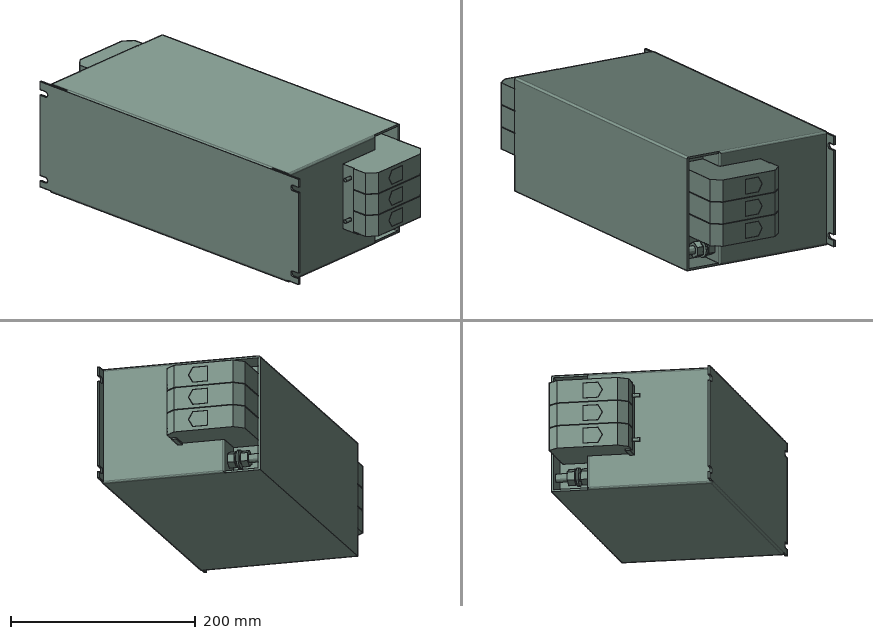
import cadquery as cq

LENGTH = 439.5
DEPTH = 180.0
HEIGHT = 129.0
FRONT_Y = -DEPTH / 2
BACK_Y = DEPTH / 2
TOP_Z = HEIGHT / 2
BOTTOM_Z = -HEIGHT / 2

SHEET = 2.0
BEND_RADIUS = SHEET
TRAY_HALF_LENGTH = 176.0
COVER_HALF_LENGTH = TRAY_HALF_LENGTH - BEND_RADIUS
TRAY_BACK_Y = 49.5
COVER_BACK_THICKNESS = 2.5

PLATE_HALF_LENGTH = 190.5
PLATE_TOP_Z = 63.0
PLATE_BOTTOM_Z = BOTTOM_Z + BEND_RADIUS
TOP_BEND_HALF_LENGTH = 151.2
TOP_STEP_DEPTH = 1.5
SLOT_WIDTH = 6.5
SLOT_DEPTH = 11.5
SLOT_HEIGHTS = (50.0, -52.0)

RECESS_FLOOR_X = 143.0
RECESS_FRONT_Y = TRAY_BACK_Y

PAD_PROUD = 0.2
BLOCK_END_X = LENGTH / 2 - PAD_PROUD
BLOCK_BACK_Y = 84.0
BLOCK_FRONT_Y = -4.5
BLOCK_TOP_Z = 48.0
MODULE_COUNT = 3
MODULE_HEIGHT = 25.0
BLOCK_HEIGHT = MODULE_COUNT * MODULE_HEIGHT
BLOCK_BOTTOM_Z = BLOCK_TOP_Z - BLOCK_HEIGHT
CORNER_X = 9.2
CORNER_Y = 10.5
BLOCK_STEP_X = 192.5
SEAM = 0.5

PAD_BACK_Y = 44.5
PAD_SHOULDER_Y = 27.5
PAD_TIP_Y = 23.0
PAD_HALF_HEIGHT = 8.5

BRACKET_END_X = 198.5
BRACKET_BACK_Y = 2.0
BRACKET_FRONT_Y = -3.0
BRACKET_DROP = 1.8
SCREW_X = 187.0
SCREW_DIAMETER = 4.0
SCREW_TIP_Y = -11.5
SCREW_HEIGHTS = (34.7, -14.5)

STUD_X = 160.5
STUD_Z = -46.5
STUD_DIAMETER = 9.2
NUT_SIDES = 6
NUT_ACROSS_CORNERS = 18.0
NUT_BACK_FACES = (73.5, 58.5)
NUT_THICKNESS = 8.0
WASHER_DIAMETER = 20.2
WASHER_BACK_Y = 63.5
WASHER_THICKNESS = 2.0


def box(x_range, y_range, z_range):
    """Box spanning the given (low, high) ranges."""
    sizes = [high - low for low, high in (x_range, y_range, z_range)]
    corner = (x_range[0], y_range[0], z_range[0])
    return cq.Workplane("XY").box(*sizes, centered=False).translate(corner)


def symmetric(half):
    """Range of the given half-length about zero."""
    return (-half, half)


def along_y(x, z, y_start):
    """Workplane at the given point whose normal points toward -Y."""
    return cq.Workplane("XZ", origin=(x, y_start, z))


def make_tray():
    """Front housing, bent at the ends, along the bottom front and at its back corners."""
    tray = box(symmetric(TRAY_HALF_LENGTH), (FRONT_Y, TRAY_BACK_Y), (BOTTOM_Z, TOP_Z))
    tray = tray.edges("|Y or (|Z and >Y)").fillet(BEND_RADIUS)
    return tray.edges("<Y and <Z").fillet(BEND_RADIUS)


def make_cover():
    """Rear housing with a rounded top back edge."""
    cover = box(symmetric(COVER_HALF_LENGTH), (0, BACK_Y), (BOTTOM_Z, TOP_Z))
    return cover.edges(">Y and >Z").fillet(BEND_RADIUS)


def bend_top_front_edge(housing):
    """Round the top front edge mid-length and step it down to the plate at both ends."""
    for side in (-1, 1):
        step = box(
            sorted((side * TOP_BEND_HALF_LENGTH, side * PLATE_HALF_LENGTH)),
            (FRONT_Y, FRONT_Y + TOP_STEP_DEPTH),
            (PLATE_TOP_Z, TOP_Z),
        )
        housing = housing.cut(step)
    bend_start = FRONT_Y + BEND_RADIUS
    corner = (
        cq.Workplane("YZ", origin=(-TOP_BEND_HALF_LENGTH, 0, 0))
        .moveTo(FRONT_Y, TOP_Z)
        .lineTo(bend_start, TOP_Z)
        .radiusArc((FRONT_Y, TOP_Z - BEND_RADIUS), -BEND_RADIUS)
        .close()
        .extrude(2 * TOP_BEND_HALF_LENGTH)
    )
    return housing.cut(corner)


def make_plate_ears():
    """Slotted mounting ears on both sides of the front."""
    ears = box(symmetric(PLATE_HALF_LENGTH), (FRONT_Y, FRONT_Y + SHEET), (PLATE_BOTTOM_Z, PLATE_TOP_Z))
    slot_length = 2 * SLOT_DEPTH
    slot_centers = [(side * PLATE_HALF_LENGTH, z) for side in (-1, 1) for z in SLOT_HEIGHTS]
    slots = (
        cq.Workplane("XZ", origin=(0, FRONT_Y + SHEET, 0))
        .pushPoints(slot_centers)
        .slot2D(slot_length, SLOT_WIDTH)
        .extrude(SHEET)
    )
    return ears.cut(slots)


def make_recess():
    """Space left inside the cover at the -X end."""
    return box(
        (-TRAY_HALF_LENGTH, -RECESS_FLOOR_X),
        (RECESS_FRONT_Y, BACK_Y - COVER_BACK_THICKNESS),
        (BOTTOM_Z + SHEET, TOP_Z - SHEET),
    )


def make_terminal_block():
    """Terminal modules with bevelled outer corners, seams and end pads, at the -X end."""
    outline = [
        (-RECESS_FLOOR_X, BLOCK_BACK_Y),
        (-BLOCK_END_X + CORNER_X, BLOCK_BACK_Y),
        (-BLOCK_END_X, BLOCK_BACK_Y - CORNER_Y),
        (-BLOCK_END_X, BLOCK_FRONT_Y + CORNER_Y),
        (-BLOCK_END_X + CORNER_X, BLOCK_FRONT_Y),
        (-BLOCK_STEP_X, BLOCK_FRONT_Y),
        (-BLOCK_STEP_X, BRACKET_BACK_Y),
        (-RECESS_FLOOR_X, BRACKET_BACK_Y),
    ]
    base = cq.Workplane("XY", origin=(0, 0, BLOCK_BOTTOM_Z))
    block = base.polyline(outline).close().extrude(BLOCK_HEIGHT)
    seam_core = base.polyline(outline).close().offset2D(-SEAM).extrude(SEAM)
    seam_ring = base.polyline(outline).close().extrude(SEAM).cut(seam_core)
    for index in range(1, MODULE_COUNT):
        block = block.cut(seam_ring.translate((0, 0, index * MODULE_HEIGHT - SEAM / 2)))

    for index in range(MODULE_COUNT):
        module_center_z = BLOCK_BOTTOM_Z + (index + 0.5) * MODULE_HEIGHT
        block = block.union(make_pad(module_center_z))
    return block


def make_pad(center_z):
    """Pad pointing toward -Y on the block's end face."""
    outline = [
        (PAD_BACK_Y, center_z - PAD_HALF_HEIGHT),
        (PAD_SHOULDER_Y, center_z - PAD_HALF_HEIGHT),
        (PAD_TIP_Y, center_z),
        (PAD_SHOULDER_Y, center_z + PAD_HALF_HEIGHT),
        (PAD_BACK_Y, center_z + PAD_HALF_HEIGHT),
    ]
    face = cq.Workplane("YZ", origin=(-LENGTH / 2, 0, 0))
    return face.polyline(outline).close().extrude(2 * PAD_PROUD)


def make_bracket():
    """Bracket strip between the block and the housing, with its screws."""
    bracket = box(
        (-BRACKET_END_X, -COVER_HALF_LENGTH),
        (BRACKET_FRONT_Y, BRACKET_BACK_Y),
        (BLOCK_BOTTOM_Z - BRACKET_DROP, BLOCK_TOP_Z),
    )
    length = BRACKET_BACK_Y - SCREW_TIP_Y
    for z in SCREW_HEIGHTS:
        screw = along_y(-SCREW_X, z, BRACKET_BACK_Y).circle(SCREW_DIAMETER / 2).extrude(length)
        bracket = bracket.union(screw)
    return bracket


def make_earth_stud():
    """Threaded stud with two hexagon nuts, corners up, and a washer between them."""
    stud_back = BACK_Y - COVER_BACK_THICKNESS
    stud = along_y(-STUD_X, STUD_Z, stud_back).circle(STUD_DIAMETER / 2).extrude(stud_back - RECESS_FRONT_Y)
    for y in NUT_BACK_FACES:
        corners_up = along_y(-STUD_X, STUD_Z, y).transformed(rotate=(0, 0, 90))
        stud = stud.union(corners_up.polygon(NUT_SIDES, NUT_ACROSS_CORNERS).extrude(NUT_THICKNESS))
    washer = along_y(-STUD_X, STUD_Z, WASHER_BACK_Y).circle(WASHER_DIAMETER / 2).extrude(WASHER_THICKNESS)
    return stud.union(washer)


result = bend_top_front_edge(make_tray().union(make_cover())).union(make_plate_ears())
recess = make_recess()
result = result.cut(recess).cut(recess.mirror("YZ"))
for feature in (make_terminal_block(), make_bracket(), make_earth_stud()):
    result = result.union(feature).union(feature.mirror("YZ"))